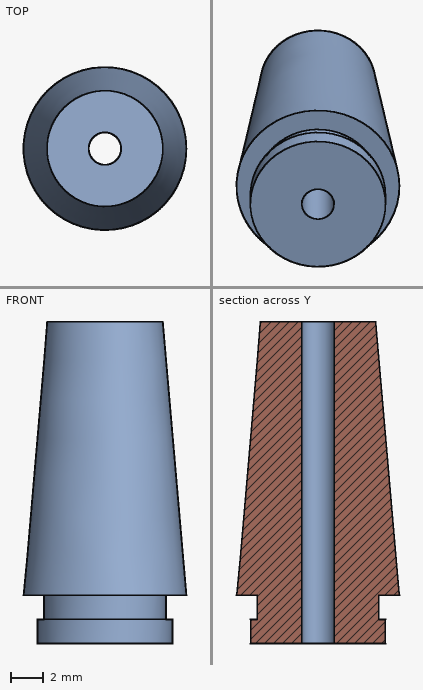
import cadquery as cq

total_height = 20.0
flange_height = 1.5
groove_height = 1.5
body_base_height = flange_height + groove_height

flange_diameter = 8.4
groove_diameter = 7.6
body_base_diameter = 10.15
body_top_diameter = 7.2
bore_diameter = 2.0

half_profile = (
    cq.Workplane("XZ")
    .moveTo(bore_diameter / 2, 0)
    .lineTo(flange_diameter / 2, 0)
    .lineTo(flange_diameter / 2, flange_height)
    .lineTo(groove_diameter / 2, flange_height)
    .lineTo(groove_diameter / 2, body_base_height)
    .lineTo(body_base_diameter / 2, body_base_height)
    .lineTo(body_top_diameter / 2, total_height)
    .lineTo(bore_diameter / 2, total_height)
    .close()
)

result = half_profile.revolve(360, (0, 0, 0), (0, 1, 0))